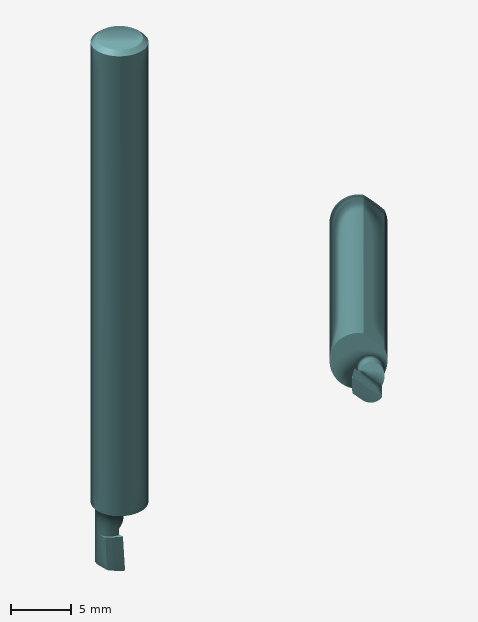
import cadquery as cq
import math

total_length = 50.8

shank_radius = 2.4
flat_distance = 2.15
chamfer_width = 0.45
chamfer_height = 0.35

neck_length = 6.4
neck_radius = 1.15
neck_x = neck_radius - shank_radius

runout_outer_depth = 1.8
runout_inner_depth = 2.65

tip_height = 3.2
edge_x_top = 0.4
flank_lean = 0.25
flank_break_x = 0.535
flank_break_y = 0.75
flank_width = 0.89

point_x = 0.55
corner_width = 0.15
corner_rise = 0.15
end_rise = 0.1
relief_angle = 8

overshoot = 1


def make_shank():
    height = total_length - neck_length
    body = cq.Workplane("XY").workplane(offset=neck_length).circle(shank_radius).extrude(height)
    body = body.faces(">Z").chamfer(chamfer_height, chamfer_width)
    flat_cut = (
        cq.Workplane("XY")
        .box(3 * shank_radius, shank_radius, total_length, centered=(True, False, False))
        .translate((0, flat_distance, 0))
    )
    return body.cut(flat_cut)


def make_neck():
    rod = (
        cq.Workplane("XY")
        .center(neck_x, 0)
        .circle(neck_radius)
        .extrude(neck_length)
    )
    slope = (runout_inner_depth - runout_outer_depth) / neck_radius
    reach = neck_radius + overshoot
    inner_z = neck_length - runout_inner_depth
    cutaway = (
        cq.Workplane("YZ")
        .polyline([(0, 0), (reach, 0), (reach, inner_z + slope * reach), (0, inner_z)])
        .close()
        .extrude(2 * shank_radius, both=True)
    )
    return rod.cut(cutaway)


def tip_outline(edge_x):
    """Tip section: cutting face at y = 0, two-facet flank and flat back."""
    return [
        (neck_x, 0),
        (edge_x, 0),
        (edge_x - flank_break_x, -flank_break_y),
        (edge_x - flank_width, -neck_radius),
        (neck_x, -neck_radius),
    ]


def make_tip():
    return (
        cq.Workplane("XY")
        .polyline(tip_outline(edge_x_top + flank_lean))
        .close()
        .workplane(offset=tip_height)
        .polyline(tip_outline(edge_x_top))
        .close()
        .loft(ruled=True)
    )


def make_end_relief():
    """Material below the end edge, falling away behind the cutting face."""
    left_x = -shank_radius - overshoot
    left_rise = end_rise * (point_x - left_x) / (point_x + shank_radius)
    right_x = point_x + corner_width + overshoot
    right_rise = corner_rise * (right_x - point_x) / corner_width
    profile = [
        (left_x, left_rise),
        (point_x, 0),
        (right_x, right_rise),
        (right_x, -overshoot),
        (left_x, -overshoot),
    ]
    angle = math.radians(relief_angle)
    back_y = -neck_radius - overshoot
    back_rise = -back_y * math.tan(angle)
    raised = [(x, z + back_rise) for x, z in profile]
    return (
        cq.Workplane("XZ")
        .polyline(profile)
        .close()
        .workplane(offset=-back_y)
        .polyline(raised)
        .close()
        .loft(ruled=True)
    )


cutter = make_neck().union(make_tip()).cut(make_end_relief())
result = make_shank().union(cutter)